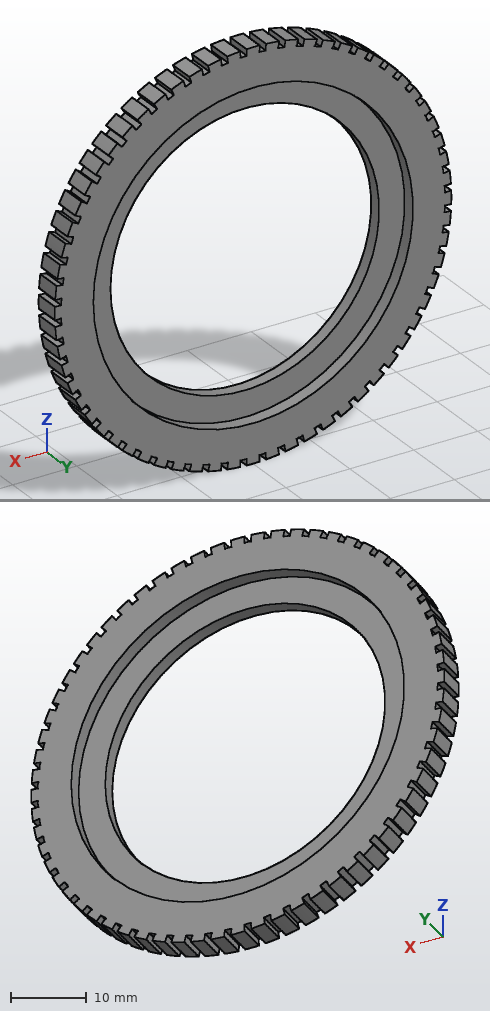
import cadquery as cq

outer_diameter = 62.0
thickness = 4.0
bore_diameter = 42.0
bore_land = 2.0
recess_diameter = 50.0

tooth_count = 64
slot_width = 1.0
slot_depth = 1.0

outer_radius = outer_diameter / 2
pitch_angle = 360 / tooth_count
front_y = -thickness / 2
back_y = thickness / 2


def disc(diameter, start_y, end_y):
    """Cylinder on the Y axis between two Y positions."""
    plane = cq.Workplane("XZ", origin=(0, end_y, 0))
    return plane.circle(diameter / 2).extrude(end_y - start_y)


def rim_slots():
    """Straight-sided radial slots, set so that a tooth is centred on each axis."""
    return (
        cq.Workplane("XZ", origin=(0, back_y, 0))
        .polarArray(outer_radius, pitch_angle / 2, 360, tooth_count)
        .rect(2 * slot_depth, slot_width)
        .extrude(thickness)
    )


ring = disc(outer_diameter, front_y, back_y)
ring = ring.cut(disc(bore_diameter, front_y, back_y))
ring = ring.cut(disc(recess_diameter, front_y + bore_land, back_y))

result = ring.cut(rim_slots())